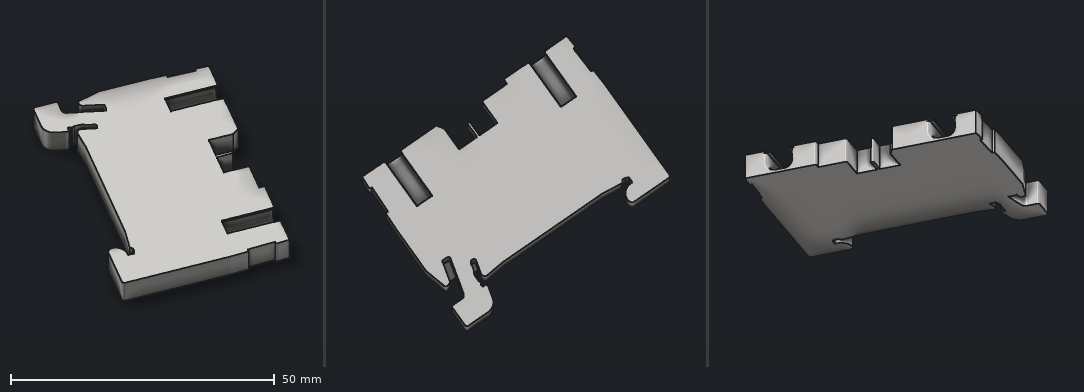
import cadquery as cq
import math

length = 48.5
height = 35.2
thickness = 5.1
web_thickness = 0.82
half_length = length / 2
lean = math.tan(math.radians(15))

top_corner_x = 23.75
top_break_width = 0.1
top_break_height = 0.35
bead_x = 23.9
bead_y = 32.4
bead_radius = 0.35
recess_top_x = 23.4
recess_bottom_x = 23.55
recess_bottom_y = 26.85
shoulder_x = 24.1
shoulder_y = 23.3

pocket_left = -5.6
pocket_right = 3.25
pocket_floor = 28.95
pocket_chamfer_width = 0.9
pocket_chamfer_height = 1.35
pin_center = -1.15
pin_width = 0.6
pin_top = 32.25
step_x = 9.05
step_y = 34.1
edge_radius = 0.35

passage_center = 16.7
passage_opening = 3.5
passage_floor_width = 1.75
passage_corner_radius = 1.6
passage_width = passage_floor_width + 2 * passage_corner_radius
passage_bottom_y = 24.55
passage_run = height - passage_bottom_y
passage_depth = thickness - web_thickness
passage_lip = 0.45
passage_mouth_radius = 0.55
lip_mouth_radius = 0.5
mouth_margin = 0.05

foot_bottom_y = 1.55
foot_left = 14.95
foot_top_y = 4.9
foot_toe_radius = 0.95
foot_nose_radius = 2.35
foot_corner_radius = 0.55
throat_x = 17.6
throat_y = 6.05
relief_left = 16.3
relief_right = 16.98

rail_y = 6.3
rail_left = -11.3
rail_right = 11.7
rail_lip_y = 5.8
lip_left = -16.3
lip_right = 15.9
lip_radius = 0.8

clip_top_y = 5.0
clip_top_radius = 0.3
clip_hook_y = 4.65
clip_hook_x = -16.3
clip_hook_bottom_y = 4.0
clip_heel_x = clip_hook_x - clip_hook_bottom_y * lean
clip_heel_radius = 2.45
clip_neck_x = -17.15
clip_bulge_x = -17.0
clip_bulge_y = 5.55
clip_bulge_bottom_y = 5.2
clip_bulge_top_y = 5.95
clip_bend_y = 7.4
clip_bend_radius = 1.45
spring_root_radius = 0.95

tongue_top_y = 13.25
tongue_tip_y = 8.65
tongue_tip_left = -half_length + (tongue_top_y - tongue_tip_y) * lean
tongue_tip_right = -21.82
tongue_left_radius = 0.4
tongue_shoulder_radius = 0.95
tongue_right_radius = 0.75
slot_top_y = 13.15
slot_left_x = tongue_tip_right + (slot_top_y - tongue_tip_y) * lean
slot_right_x = -18.9
slot_left_radius = 0.25
slot_right_radius = 0.45
slot_foot_x = slot_right_x - (slot_top_y - clip_top_y) * lean

relief_slot_top_y = 10.05
relief_slot_width = 1.1
relief_slot_right_x = lip_left + (relief_slot_top_y - rail_lip_y) * lean
relief_slot_left_x = relief_slot_right_x - relief_slot_width
relief_slot_radius = 0.45

slot_web_y = 9.65
relief_web_y = 8.45
relief_web_left_x = relief_slot_left_x - (relief_slot_top_y - relief_web_y) * lean
web_overlap = 0.25


def rounded_outline(corners):
    """Closed wire through (x, y, radius) corners; a zero radius leaves the corner sharp."""
    path = None
    for i, (x, y, radius) in enumerate(corners):
        corner = cq.Vector(x, y)
        back = (cq.Vector(*corners[i - 1][:2]) - corner).normalized()
        ahead = (cq.Vector(*corners[(i + 1) % len(corners)][:2]) - corner).normalized()
        half_angle = back.getAngle(ahead) / 2
        setback = radius / math.tan(half_angle)
        start = (corner + back * setback).toTuple()[:2]
        path = path.lineTo(*start) if path else cq.Workplane("XY").moveTo(*start)
        if radius:
            bisector = (back + ahead).normalized()
            middle = corner + bisector * (radius / math.sin(half_angle) - radius)
            end = corner + ahead * setback
            path = path.threePointArc(middle.toTuple()[:2], end.toTuple()[:2])
    return path.close()


def end_face(side):
    """Corners of a stepped end face from the top edge down; side is -1 or +1."""
    return [
        (side * (top_corner_x - top_break_width), height, 0),
        (side * top_corner_x, height - top_break_height, 0),
        (side * bead_x, bead_y, bead_radius),
        (side * recess_top_x, bead_y, 0),
        (side * recess_bottom_x, recess_bottom_y, 0),
        (side * shoulder_x, recess_bottom_y, 0),
        (side * half_length, shoulder_y, 0),
    ]


def top_edge():
    """Corners from left to right along the top edge, through the pocket and around the pin."""
    pin_left = pin_center - pin_width / 2
    pin_right = pin_center + pin_width / 2
    pin_radius = 0.45 * pin_width
    return [
        (pocket_left - pocket_chamfer_width, height, 0),
        (pocket_left, height - pocket_chamfer_height, 0),
        (pocket_left, pocket_floor, 0),
        (pin_left, pocket_floor, 0),
        (pin_left, pin_top, pin_radius),
        (pin_right, pin_top, pin_radius),
        (pin_right, pocket_floor, 0),
        (pocket_right, pocket_floor, 0),
        (pocket_right, step_y, edge_radius),
        (step_x, step_y, 0),
        (step_x, height, edge_radius),
    ]


def rail_foot():
    """Corners of the fixed foot, from the right end round to the underside."""
    return [
        (half_length, foot_bottom_y, foot_corner_radius),
        (foot_left, foot_bottom_y, foot_toe_radius),
        (foot_left, foot_top_y, foot_nose_radius),
        (throat_x, foot_top_y, 0),
        (throat_x, throat_y, 0),
        (relief_right, rail_y, 0),
        (relief_left, rail_y, 0),
        (lip_right, rail_lip_y, 0),
        (rail_right, rail_y, 0),
    ]


def rail_clip():
    """Corners from the underside round the short slot, the sprung clip, its slot and the tongue."""
    return [
        (rail_left, rail_y, 0),
        (lip_left, rail_lip_y, lip_radius),
        (relief_slot_right_x, relief_slot_top_y, relief_slot_radius),
        (relief_slot_left_x, relief_slot_top_y, relief_slot_radius),
        (relief_web_left_x, relief_web_y, 0),
        (clip_neck_x, clip_bend_y, clip_bend_radius),
        (clip_neck_x, clip_bulge_top_y, 0),
        (clip_bulge_x, clip_bulge_y, 0),
        (clip_neck_x, clip_bulge_bottom_y, 0),
        (clip_neck_x, clip_hook_y, 0),
        (clip_hook_x, clip_hook_y, 0),
        (clip_hook_x, clip_hook_bottom_y, 0),
        (clip_heel_x, 0, clip_heel_radius),
        (-half_length, 0, foot_corner_radius),
        (-half_length, clip_top_y, clip_top_radius),
        (slot_foot_x, clip_top_y, spring_root_radius),
        (slot_right_x, slot_top_y, slot_right_radius),
        (slot_left_x, slot_top_y, slot_left_radius),
        (tongue_tip_right, tongue_tip_y, tongue_right_radius),
        (tongue_tip_left, tongue_tip_y, tongue_left_radius),
        (-half_length, tongue_top_y, tongue_shoulder_radius),
    ]


def slot_web(left_x, right_x, top_y, open_y):
    """Thin web on the bottom face filling a leaning slot from its closed end down to open_y."""
    run = (top_y - open_y) * lean
    corners = [
        (left_x - run - web_overlap, open_y),
        (right_x - run + web_overlap, open_y),
        (right_x + web_overlap, top_y),
        (left_x - web_overlap, top_y),
    ]
    return cq.Workplane("XY").polyline(corners).close().extrude(web_thickness)


def tunnel_cutter(center_x):
    """Round-bottomed tunnel along Y, roofed by the lip under the top face."""
    return (
        cq.Workplane("XY")
        .box(passage_width, passage_run, passage_depth - passage_lip, centered=(True, False, False))
        .edges("|Y and <Z")
        .fillet(passage_corner_radius)
        .translate((center_x, passage_bottom_y, thickness - passage_depth))
    )


def slot_cutter(center_x):
    """Slot through the lip above the tunnel."""
    slot = cq.Workplane("XY").box(passage_opening, passage_run, passage_lip, centered=(True, False, False))
    return slot.translate((center_x, passage_bottom_y, thickness - passage_lip))


def mouth_edges(center_x, bottom_z, top_z):
    """Selector for the passage edges on the top edge of the body lying between two heights."""
    reach = passage_width / 2 + mouth_margin
    return cq.selectors.BoxSelector(
        (center_x - reach, height - mouth_margin, bottom_z - mouth_margin),
        (center_x + reach, height + mouth_margin, top_z - mouth_margin),
    )


outline = top_edge() + end_face(1) + rail_foot() + rail_clip() + end_face(-1)[::-1]
body = rounded_outline(outline).extrude(thickness)

body = body.union(slot_web(slot_left_x, slot_right_x, slot_top_y, slot_web_y))
body = body.union(slot_web(relief_slot_left_x, relief_slot_right_x, relief_slot_top_y, relief_web_y))

roof_z = thickness - passage_lip
for side in (-1, 1):
    passage_x = side * passage_center
    body = body.cut(tunnel_cutter(passage_x))
    tunnel_mouth = mouth_edges(passage_x, thickness - passage_depth, roof_z)
    body = body.edges(tunnel_mouth).fillet(passage_mouth_radius)
    body = body.cut(slot_cutter(passage_x))
    lip_mouth = mouth_edges(passage_x, roof_z + 2 * mouth_margin, thickness)
    body = body.edges(lip_mouth).fillet(lip_mouth_radius)

result = body